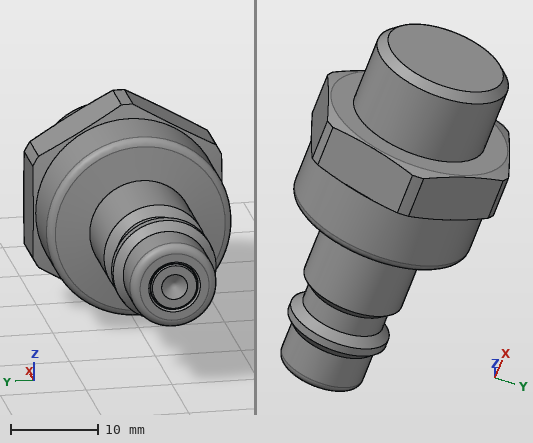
import cadquery as cq
import math

length = 43.0
edge_size = 1.0
collar_start = 5.0
neck_end = 10.45
flange_start = 20.0
flange_corner = 20.7
hex_start = 28.0
hex_end = 34.0

tip_diameter = 10.0
shank_diameter = 12.0
neck_diameter = 9.75
flange_diameter = 21.5
thread_diameter = 16.0

across_flats = 22.0
across_corners = 24.7
hex_chamfer_diameter = flange_diameter
hex_chamfer_angle = 15.0

bore_diameter = 5.6
bore_mouth_diameter = 6.0
pin_diameter = 5.45
pin_face_diameter = 5.15
gap_depth = 0.85
dimple_diameter = 3.0
dimple_angle = 118.0


def revolve_about_x(points):
    """Revolve a closed profile of (x, radius) points about the X axis."""
    profile = cq.Workplane("XY").polyline(points).close()
    return profile.revolve(360, (0, 0, 0), (1, 0, 0))


def make_plug():
    tip_radius = tip_diameter / 2
    shank_radius = shank_diameter / 2
    neck_radius = neck_diameter / 2
    collar_top = collar_start + edge_size
    collar_end = collar_top + edge_size
    plug = revolve_about_x([
        (0, 0),
        (0, tip_radius),
        (collar_start, tip_radius),
        (collar_top, shank_radius),
        (collar_end, shank_radius),
        (collar_end + edge_size, neck_radius),
        (neck_end, neck_radius),
        (neck_end + edge_size, shank_radius),
        (hex_start, shank_radius),
        (hex_start, 0),
    ])
    return plug.faces("<X").edges().fillet(edge_size)


def make_flange():
    flange_radius = flange_diameter / 2
    flange = revolve_about_x([
        (flange_start, 0),
        (flange_start, shank_diameter / 2),
        (flange_corner, flange_radius),
        (hex_start, flange_radius),
        (hex_start, 0),
    ])
    rim = cq.selectors.BoxSelector(
        (flange_corner - 0.05, -flange_radius - 0.45, -flange_radius - 0.45),
        (flange_corner + 0.05, flange_radius + 0.45, flange_radius + 0.45),
        boundingbox=True,
    )
    return flange.edges(rim).fillet(edge_size)


def make_hexagon():
    sharp_corners = across_flats / math.cos(math.radians(30))
    prism = (
        cq.Workplane("YZ", origin=(hex_start, 0, 0))
        .transformed(rotate=(0, 0, 30))
        .polygon(6, sharp_corners)
        .extrude(hex_end - hex_start)
    )
    outer_radius = across_corners / 2
    face_radius = hex_chamfer_diameter / 2
    chamfer = (outer_radius - face_radius) * math.tan(math.radians(hex_chamfer_angle))
    envelope = revolve_about_x([
        (hex_start, 0),
        (hex_start, face_radius),
        (hex_start + chamfer, outer_radius),
        (hex_end - chamfer, outer_radius),
        (hex_end, face_radius),
        (hex_end, 0),
    ])
    return prism.intersect(envelope)


def make_thread_end():
    stud = (
        cq.Workplane("YZ", origin=(hex_end, 0, 0))
        .circle(thread_diameter / 2)
        .extrude(length - hex_end)
    )
    return stud.faces(">X").chamfer(edge_size)


def make_valve_gap():
    """Ring-shaped gap with a bevel on each of its two mouth edges."""
    mouth_bevel = (bore_mouth_diameter - bore_diameter) / 2
    pin_bevel = (pin_diameter - pin_face_diameter) / 2
    return revolve_about_x([
        (0, pin_face_diameter / 2),
        (pin_bevel, pin_diameter / 2),
        (gap_depth, pin_diameter / 2),
        (gap_depth, bore_diameter / 2),
        (mouth_bevel, bore_diameter / 2),
        (0, bore_mouth_diameter / 2),
    ])


def make_dimple():
    radius = dimple_diameter / 2
    depth = radius / math.tan(math.radians(dimple_angle / 2))
    return revolve_about_x([(0, 0), (0, radius), (depth, 0)])


body = make_plug().union(make_flange()).union(make_hexagon()).union(make_thread_end())
result = body.cut(make_valve_gap()).cut(make_dimple())